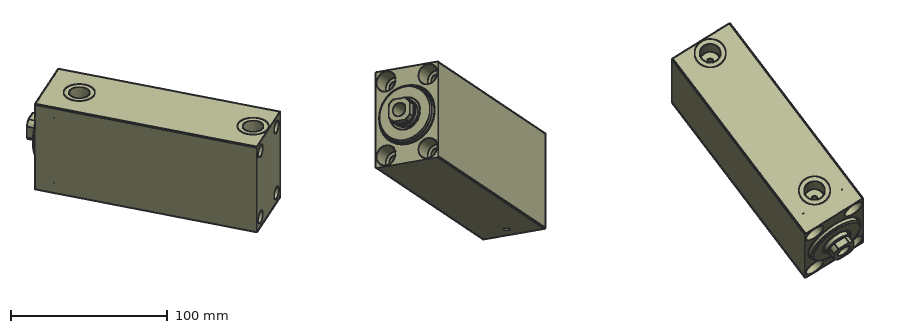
import cadquery as cq
import math


overall_length = 161.0
block_length = 150.0
block_width = 45.0
block_height = 65.0
edge_chamfer = 0.6
front_face_x = overall_length - block_length

guide_diameter = 38.0
guide_protrusion = 3.0
guide_insertion = 12.0
guide_chamfer = 1.0
guide_recess_diameter = 21.7
guide_recess_depth = 1.0
guide_face_x = front_face_x - guide_protrusion
seat_chamfer = 1.0

rod_diameter = 18.0
rod_chamfer = 0.5
rod_rear_clearance = 20.0
rod_end_x = overall_length - rod_rear_clearance
tip_length = 5.0
tip_diameter = 17.0
tip_across_flats = 15.0
tip_hole_diameter = 9.0
tip_hole_depth = 20.0
drill_point_angle = 118.0

mount_spacing_y = 30.0
mount_spacing_z = 50.0
mount_diameter = 8.5
mount_counterbore_diameter = 13.5
mount_counterbore_depth = 12.9

port_diameter = 13.2
port_depth = 12.0
port_spotface_diameter = 20.0
port_spotface_depth = 0.2
port_drill_diameter = 3.9
front_port_x = front_face_x + 22.0
rear_port_x = overall_length - 10.5


def rod_axis_cylinder(diameter, start_x, end_x):
    """Cylinder on the X axis between two stations."""
    return cq.Workplane("YZ", origin=(start_x, 0, 0)).circle(diameter / 2).extrude(end_x - start_x)


def vertical_cut(x, diameter, depth):
    """Vertical cylinder reaching down from the top face."""
    top_face = cq.Workplane("XY", origin=(x, 0, block_height / 2))
    return top_face.circle(diameter / 2).extrude(-depth)


def port_cut(x, drill_depth):
    """Spot-faced port with a narrow oil drilling below it."""
    spotface = vertical_cut(x, port_spotface_diameter, port_spotface_depth)
    port = vertical_cut(x, port_diameter, port_depth)
    drilling = vertical_cut(x, port_drill_diameter, drill_depth)
    return spotface.union(port).union(drilling)


def make_housing():
    """Block with guide seat, rod bore, four mounting holes and two ports."""
    front_plane = cq.Workplane("YZ", origin=(front_face_x, 0, 0))
    block = front_plane.rect(block_width, block_height).extrude(block_length)
    block = block.edges("|X").chamfer(edge_chamfer)

    guide_seat = rod_axis_cylinder(guide_diameter, front_face_x, front_face_x + guide_insertion)
    block = block.cut(guide_seat)
    block = block.faces("<X").edges("%CIRCLE").chamfer(seat_chamfer)
    block = block.cut(rod_axis_cylinder(rod_diameter, front_face_x, rod_end_x))

    block = (
        block.faces("<X")
        .workplane(origin=(front_face_x, 0, 0))
        .rarray(mount_spacing_y, mount_spacing_z, 2, 2)
        .cboreHole(mount_diameter, mount_counterbore_diameter, mount_counterbore_depth)
    )

    front_drill_depth = block_height / 2
    rear_drill_depth = block_height
    return block.cut(port_cut(front_port_x, front_drill_depth)).cut(port_cut(rear_port_x, rear_drill_depth))


def make_guide():
    """Chamfered bush with a recess around the rod."""
    bush = rod_axis_cylinder(guide_diameter, guide_face_x, front_face_x + guide_insertion)
    bush = bush.faces("<X").chamfer(guide_chamfer)
    recess = rod_axis_cylinder(guide_recess_diameter, guide_face_x, guide_face_x + guide_recess_depth)
    bore = rod_axis_cylinder(rod_diameter, guide_face_x, front_face_x + guide_insertion)
    return bush.cut(recess).cut(bore)


def make_rod():
    """Round rod with a four-flat wrench tip and a blind hole in its end."""
    shaft = rod_axis_cylinder(rod_diameter, tip_length, rod_end_x)
    shaft = shaft.faces("<X").chamfer(rod_chamfer)
    flats = cq.Workplane("YZ").rect(tip_across_flats, tip_across_flats).extrude(tip_length)
    tip = rod_axis_cylinder(tip_diameter, 0, tip_length).intersect(flats)

    hole_radius = tip_hole_diameter / 2
    point_length = hole_radius / math.tan(math.radians(drill_point_angle / 2))
    hole = (
        cq.Workplane("XY")
        .lineTo(0, hole_radius)
        .lineTo(tip_hole_depth, hole_radius)
        .lineTo(tip_hole_depth + point_length, 0)
        .close()
        .revolve(360, (0, 0, 0), (1, 0, 0))
    )
    return shaft.union(tip).cut(hole)


housing = make_housing()
guide = make_guide()
rod = make_rod()

result = cq.Compound.makeCompound([housing.val(), guide.val(), rod.val()])